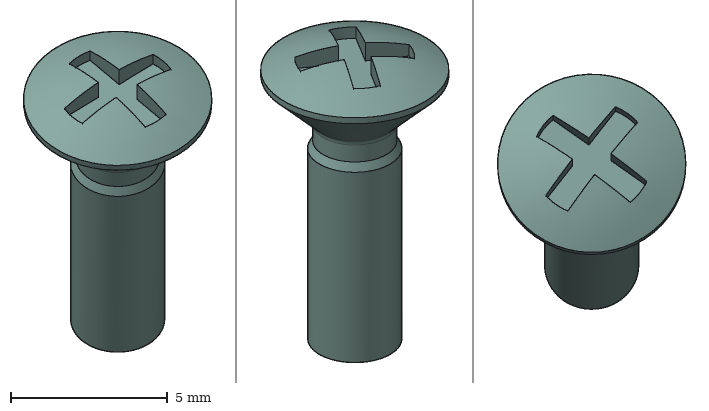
import cadquery as cq
import math

total_length = 10.67
head_radius = 3.0
shank_radius = 1.5

rim_top_z = 10.0
rim_height = 0.22
rim_bottom_z = rim_top_z - rim_height
cone_end_z = 8.16
cone_end_radius = 1.4

neck_radius = 1.34
neck_top_z = 7.99
neck_bottom_z = 7.36
shank_top_z = 7.07

recess_radius = 1.91
recess_width = 0.87
recess_floor_z = rim_top_z

corner_radius = recess_width / math.sqrt(2)
dome_rise = total_length - rim_top_z
dome_center_z = (total_length + rim_top_z) / 2 - (head_radius**2 - corner_radius**2) / (2 * dome_rise)
dome_radius = math.hypot(head_radius, rim_top_z - dome_center_z)
apex_z = dome_center_z + dome_radius


def dome_point(radius):
    """Point of the domed top at a given distance from the screw axis."""
    return (radius, dome_center_z + math.sqrt(dome_radius**2 - radius**2))


def make_screw_body():
    """Revolve the half profile of shank, neck, countersunk head and dome."""
    profile = (
        cq.Workplane("XZ")
        .moveTo(0, 0)
        .lineTo(shank_radius, 0)
        .lineTo(shank_radius, shank_top_z)
        .lineTo(neck_radius, neck_bottom_z)
        .lineTo(neck_radius, neck_top_z)
        .tangentArcPoint((cone_end_radius, cone_end_z), relative=False)
        .lineTo(head_radius, rim_bottom_z)
        .lineTo(head_radius, rim_top_z)
        .threePointArc(dome_point(head_radius / 2), (0, apex_z))
        .close()
    )
    return profile.revolve(360, (0, 0, 0), (0, 1, 0))


def make_cross_recess():
    """Two crossed slots whose outer ends follow one circle."""
    base = cq.Workplane("XY").workplane(offset=recess_floor_z)
    recess_depth = apex_z - recess_floor_z
    slot_length = 2 * recess_radius
    cross = base.rect(slot_length, recess_width).extrude(recess_depth)
    cross = cross.union(base.rect(recess_width, slot_length).extrude(recess_depth))
    return cross.intersect(base.circle(recess_radius).extrude(recess_depth))


result = make_screw_body().cut(make_cross_recess())